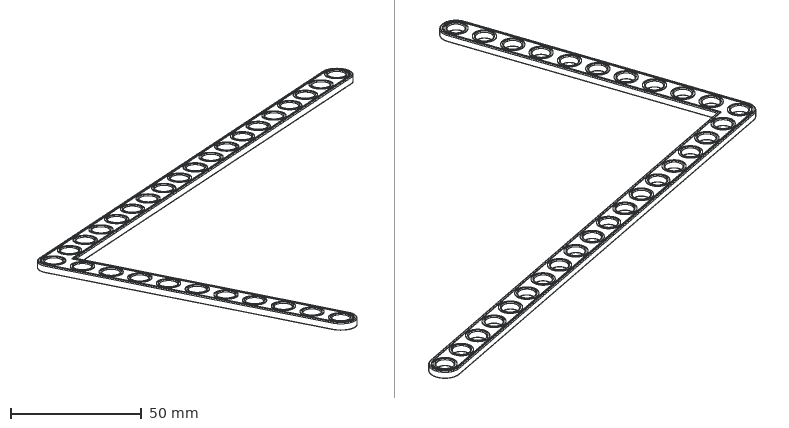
import cadquery as cq

overall_length = 237.5
long_arm_holes = 19
short_arm_holes = 11
straight_edge_height = 2.5
chamfer = 0.38
pocket_depth = 0.2
rim_width = 1.1
boss_diameter = 9.3
boss_wall = 1.15

pitch = overall_length / long_arm_holes
arm_width = pitch
long_span = pitch * (long_arm_holes - 1)
short_span = pitch * (short_arm_holes - 1)
thickness = straight_edge_height + chamfer
floor_height = thickness - pocket_depth
hole_diameter = boss_diameter - 2 * boss_wall

short_row = [(i * pitch, 0) for i in range(short_arm_holes)]
long_row = [(0, i * pitch) for i in range(1, long_arm_holes)]
hole_centers = short_row + long_row


def angle_bar(width, bottom, top):
    """L-shaped slab of two round-ended arms that meet at the corner hole."""
    base = cq.Workplane("XY", origin=(0, 0, bottom))
    height = top - bottom
    short_arm = base.center(short_span / 2, 0).slot2D(short_span + width, width).extrude(height)
    long_arm = base.center(0, long_span / 2).slot2D(long_span + width, width, 90).extrude(height)
    return short_arm.union(long_arm)


def discs(diameter, bottom, top):
    """One upright cylinder at every hole centre."""
    base = cq.Workplane("XY", origin=(0, 0, bottom))
    return base.pushPoints(hole_centers).circle(diameter / 2).extrude(top - bottom)


plate = angle_bar(arm_width, 0, thickness)
plate = plate.cut(discs(hole_diameter, 0, thickness))
plate = plate.faces(">Z").chamfer(chamfer)

pocket = angle_bar(arm_width - 2 * rim_width, floor_height, thickness)
pocket = pocket.cut(discs(boss_diameter, floor_height, thickness))

result = plate.cut(pocket)